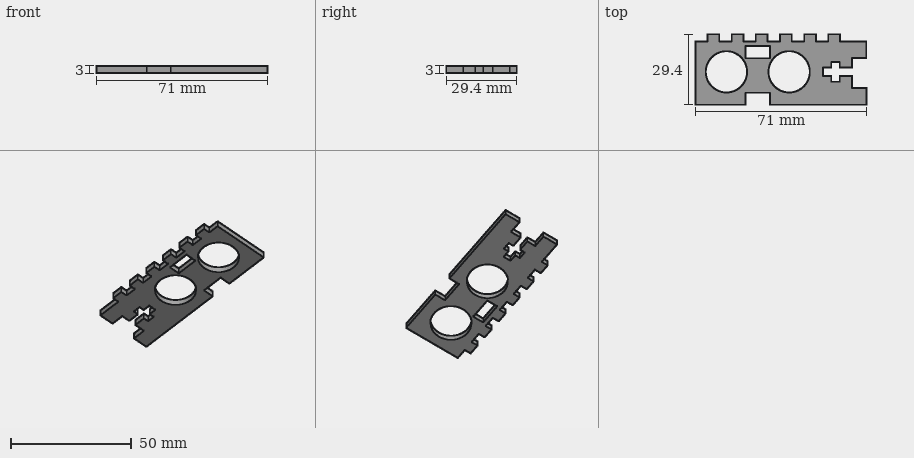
import cadquery as cq

length = 71.0
thickness = 3.0
body_width = 26.35
upper_end_setback = 0.15

tooth_count = 6
tooth_width = 5.0
tooth_pitch = 10.0
tooth_height = thickness
first_tooth_x = 5.0

opening_center_x = 25.85
opening_length = 10.0
opening_width = 5.0
window_edge_margin = 2.0

hole_diameter = 17.05
hole_spacing = 26.0
axis_y = 13.7

recess_depth = 6.0
recess_bottom_y = 7.1
recess_top_y = 19.4
slot_width = 3.4
slot_start_x = 52.9
cross_arm_length = 8.1
cross_arm_x = slot_start_x + slot_width


def block(x_min, y_min, x_size, y_size):
    """Full-thickness rectangular block placed by its lower left corner."""
    return cq.Workplane("XY").box(x_size, y_size, thickness, centered=False).translate((x_min, y_min, 0))


def make_body():
    body = block(0, 0, length, body_width)
    for index in range(tooth_count):
        tooth_x = first_tooth_x + index * tooth_pitch
        body = body.union(block(tooth_x, body_width, tooth_width, tooth_height))
    return body


def cut_holes(body):
    holes = (
        cq.Workplane("XY")
        .pushPoints([(opening_center_x + side * hole_spacing / 2, axis_y) for side in (-1, 1)])
        .circle(hole_diameter / 2)
        .extrude(thickness)
    )
    return body.cut(holes)


def cut_window_and_notch(body):
    opening_x = opening_center_x - opening_length / 2
    window_y = body_width - window_edge_margin - opening_width
    for opening_y in (0, window_y):
        body = body.cut(block(opening_x, opening_y, opening_length, opening_width))
    return body


def cut_right_end(body):
    recess = block(length - recess_depth, recess_bottom_y, recess_depth, recess_top_y - recess_bottom_y)
    setback = block(length - upper_end_setback, recess_top_y, upper_end_setback, body_width - recess_top_y)
    slot = block(slot_start_x, axis_y - slot_width / 2, length - slot_start_x, slot_width)
    cross_arm = block(cross_arm_x, axis_y - cross_arm_length / 2, slot_width, cross_arm_length)
    return body.cut(recess).cut(setback).cut(slot).cut(cross_arm)


result = cut_right_end(cut_window_and_notch(cut_holes(make_body())))